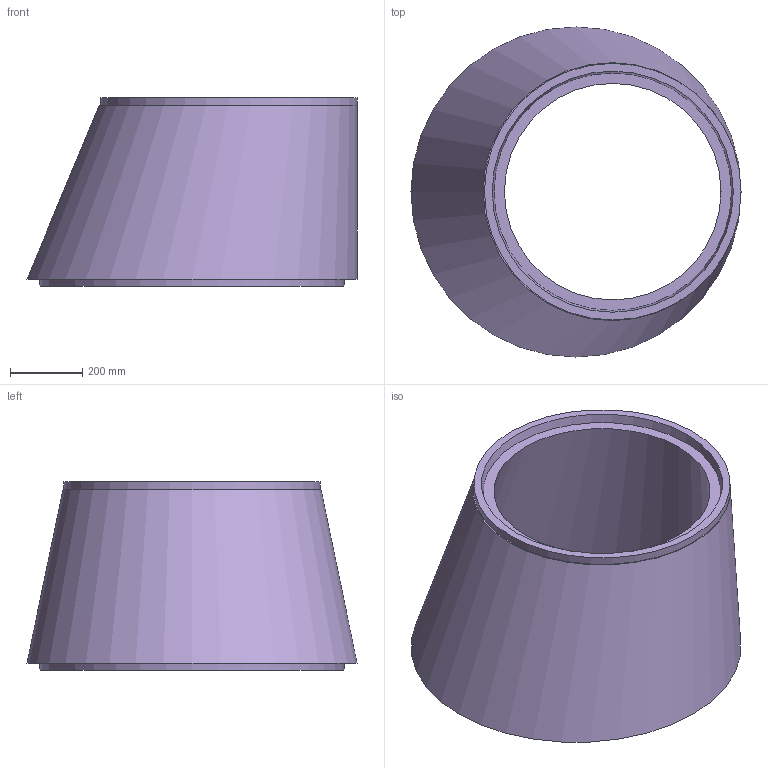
import cadquery as cq

total_height = 523.0
spigot_height = 20.0
collar_height = 22.0
recess_depth = 25.0

base_diameter = 914.58
cone_top_diameter = 714.58
collar_diameter = 711.0
spigot_root_diameter = 846.0
spigot_tip_diameter = 841.0

recess_mouth_diameter = 668.0
recess_floor_diameter = 658.0
top_bore_diameter = 600.0

cone_top_offset = (base_diameter - cone_top_diameter) / 2
collar_offset = (base_diameter - collar_diameter) / 2

bottom_bore_diameter = top_bore_diameter + 2 * collar_offset

base_level = spigot_height
collar_level = total_height - collar_height
recess_level = total_height - recess_depth


def frustum(lower_diameter, upper_diameter, lower_level, upper_level, lower_offset, upper_offset):
    """Solid between two horizontal circles whose centres may be offset along X."""
    return (
        cq.Workplane("XY", origin=(0, 0, lower_level))
        .center(lower_offset, 0)
        .circle(lower_diameter / 2)
        .workplane(offset=upper_level - lower_level)
        .center(upper_offset - lower_offset, 0)
        .circle(upper_diameter / 2)
        .loft(ruled=True)
    )


def make_body():
    """Tapered spigot, eccentric cone and upright collar."""
    spigot = frustum(spigot_tip_diameter, spigot_root_diameter, 0, base_level, 0, 0)
    cone = frustum(base_diameter, cone_top_diameter, base_level, collar_level, 0, cone_top_offset)
    collar = frustum(
        collar_diameter, collar_diameter, collar_level, total_height, collar_offset, collar_offset
    )
    return spigot.union(cone).union(collar)


def make_opening():
    """Eccentric through bore with a tapered recess at the collar."""
    bore = frustum(bottom_bore_diameter, top_bore_diameter, 0, recess_level, 0, collar_offset)
    recess = frustum(
        recess_floor_diameter,
        recess_mouth_diameter,
        recess_level,
        total_height,
        collar_offset,
        collar_offset,
    )
    return bore.union(recess)


result = make_body().cut(make_opening())